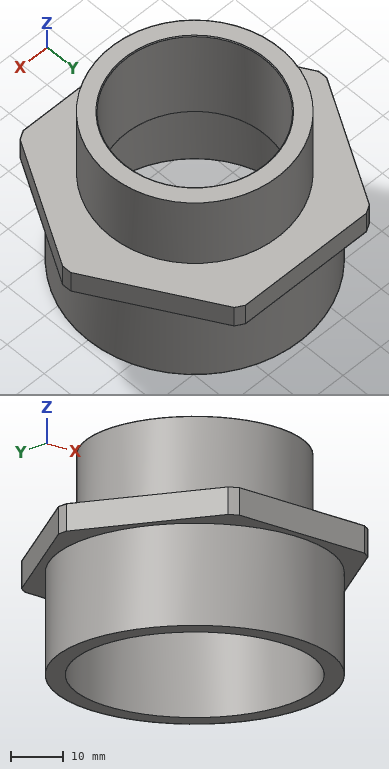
import math

import cadquery as cq

across_flats = 60.0
corner_diameter = 68.0
flange_bottom = 20.5
flange_top = 26.0

lower_diameter = 56.65
upper_diameter = 44.8
total_height = 44.0

lower_bore_diameter = 49.0
upper_bore_diameter = 37.0
bore_step = 21.5
mouth_chamfer = 0.2


def cylinder(diameter, bottom, top):
    """Vertical cylinder on the part axis between two heights."""
    return cq.Workplane("XY").workplane(offset=bottom).circle(diameter / 2).extrude(top - bottom)


def hexagon_flange():
    """Hexagon with corners on the X axis, rounded by a concentric cylinder."""
    sharp_corner_diameter = across_flats / math.cos(math.pi / 6)
    hexagon = (
        cq.Workplane("XY")
        .workplane(offset=flange_bottom)
        .polygon(6, sharp_corner_diameter)
        .extrude(flange_top - flange_bottom)
    )
    return hexagon.intersect(cylinder(corner_diameter, flange_bottom, flange_top))


def stepped_bore():
    """Wide bore from below, narrow bore above the step, chamfered at the mouth."""
    wide_bore = cylinder(lower_bore_diameter, 0, bore_step)
    narrow_bore = cylinder(upper_bore_diameter, bore_step, total_height)
    mouth = (
        cq.Workplane("XY")
        .workplane(offset=total_height)
        .circle(upper_bore_diameter / 2 + mouth_chamfer)
        .extrude(-mouth_chamfer, taper=45)
    )
    return wide_bore.union(narrow_bore).union(mouth)


lower_sleeve = cylinder(lower_diameter, 0, flange_bottom)
upper_sleeve = cylinder(upper_diameter, flange_top, total_height)
result = hexagon_flange().union(lower_sleeve).union(upper_sleeve).cut(stepped_bore())